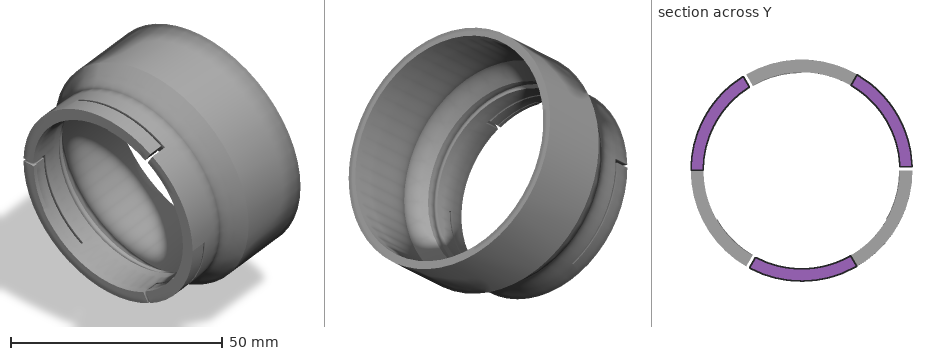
import cadquery as cq
import math

outer_radius = 30.0
collar_radius = 26.2
wall = 2.0
bore_radius = 23.2
bore_length = 9.35
relief_end = 11.65
total_length = 35.0
collar_length = 10.0
cone_length = 6.0

tongue_count = 3
tongue_angle = 60.0
tongue_length = 3.95
ring_slit_width = 0.6
axial_slit_width = 0.8

ridge_angle = tongue_angle / 2
ridge_height = 0.2
ridge_length = 1.0
ridge_overlap = 0.6

cone_end = collar_length + cone_length
relief_radius = collar_radius - wall
socket_radius = outer_radius - wall
slit_depth = tongue_length + ring_slit_width


def make_sleeve():
    """Revolve the wall section, given as (radius, distance from the front face)."""
    section = [
        (bore_radius, 0),
        (collar_radius, 0),
        (collar_radius, collar_length),
        (outer_radius, cone_end),
        (outer_radius, total_length),
        (socket_radius, total_length),
        (socket_radius, cone_end),
        (relief_radius, relief_end),
        (relief_radius, bore_length),
        (bore_radius, bore_length),
    ]
    return cq.Workplane("XY").polyline(section).close().revolve(360, (0, 0, 0), (0, 1, 0))


def make_sector(angle, length):
    """Wedge from the Y axis, starting at +X and turning toward +Z; it reaches past the collar."""
    corner = outer_radius / math.cos(math.radians(angle / 2))
    end_x = corner * math.cos(math.radians(angle))
    end_z = corner * math.sin(math.radians(angle))
    return (
        cq.Workplane("XZ", origin=(0, length, 0))
        .polyline([(0, 0), (corner, 0), (end_x, end_z)])
        .close()
        .extrude(length)
    )


def make_slit():
    """Cutter for one L-shaped slit whose axial leg lies just below the +X axis."""
    axial_leg = cq.Workplane("XY").box(outer_radius, slit_depth, axial_slit_width, centered=False)
    axial_leg = axial_leg.translate((0, 0, -axial_slit_width))
    ring_leg = make_sector(tongue_angle, ring_slit_width).translate((0, tongue_length, 0))
    return axial_leg.union(ring_leg)


def make_ridge():
    """Inner ridge of one tongue, starting at the +X axis and turning toward +Z."""
    ring = (
        cq.Workplane("XZ", origin=(0, ridge_length, 0))
        .circle(bore_radius + ridge_overlap)
        .circle(bore_radius - ridge_height)
        .extrude(ridge_length)
    )
    return ring.intersect(make_sector(ridge_angle, ridge_length))


result = make_sleeve()
slit = make_slit()
ridge = make_ridge()
for index in range(tongue_count):
    turn = -(tongue_angle + index * 360 / tongue_count)
    result = result.cut(slit.rotate((0, 0, 0), (0, 1, 0), turn))
    result = result.union(ridge.rotate((0, 0, 0), (0, 1, 0), turn))